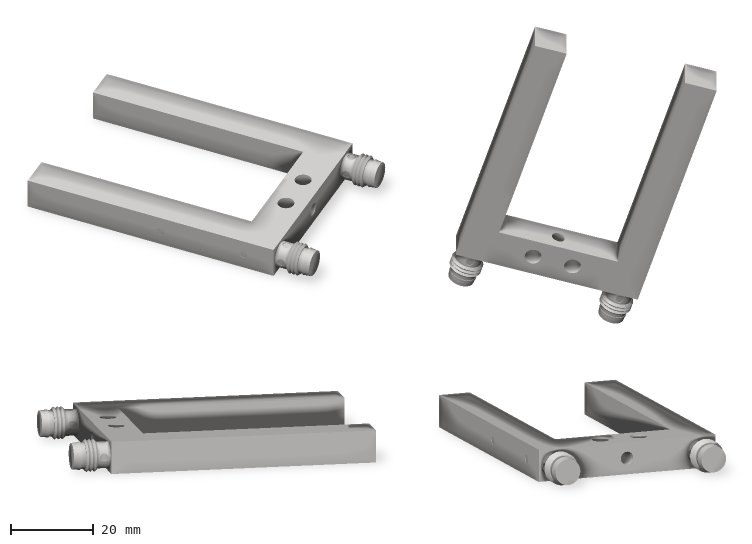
import cadquery as cq


total_length = 74.6
fork_width = 46.0
thickness = 8.0
housing_length = 65.5
bridge_length = 9.5
gap_width = 30.0
gap_length = housing_length - bridge_length
arm_width = (fork_width - gap_width) / 2
arm_offset = (gap_width + arm_width) / 2

mount_diameter = 4.1
mount_spacing = 10.0
mount_setback = 4.9
mount_x = housing_length - mount_setback
rear_hole_diameter = 3.2

optic_diameter = 7.45
optic_x = 6.0
window_diameter = 2.0
window_depth = 0.1
window_positions = (35.5, 57.5)

neck_diameter = 6.5
neck_length = 3.1
thread_diameter = 8.0
thread_root_diameter = 7.1
thread_pitch = 1.0
thread_turns = 3
relief_length = 1.1
nose_diameter = 6.9
tip_diameter = 6.4
connector_length = total_length - housing_length
port_diameter = 2.0
port_x = 1.65
port_floor_radius = 3.0
port_count = 4


def make_housing():
    """U-shaped block with its holes, optic seats and shallow indicator windows."""
    block = cq.Workplane("XY").box(
        housing_length, fork_width, thickness, centered=(False, True, True)
    )
    gap = cq.Workplane("XY").box(gap_length, gap_width, thickness, centered=(False, True, True))

    mount_holes = (
        cq.Workplane("XY", origin=(mount_x, 0, 0))
        .rarray(0.75, mount_spacing, 1, 2)
        .circle(mount_diameter / 2)
        .extrude(thickness, both=True)
    )
    rear_hole = (
        cq.Workplane("YZ", origin=(gap_length, 0, 0))
        .circle(rear_hole_diameter / 2)
        .extrude(bridge_length)
    )
    windows = (
        cq.Workplane("XZ", origin=(0, -fork_width / 2, 0))
        .pushPoints([(x, 0) for x in window_positions])
        .circle(window_diameter / 2)
        .extrude(-window_depth)
    )

    housing = block.cut(gap).cut(mount_holes).cut(rear_hole).cut(windows)
    for side in (-1, 1):
        housing = housing.cut(make_optic(side))
    return housing


def make_optic(side):
    """Round optic that fills the width of one arm, flush with both its faces."""
    outer_y = side * arm_offset + arm_width / 2
    return (
        cq.Workplane("XZ", origin=(optic_x, outer_y, 0))
        .circle(optic_diameter / 2)
        .extrude(arm_width)
    )


def connector_outline():
    """Half outline of the connector as (distance from the housing, radius) points."""
    points = [
        (0, 0),
        (0, neck_diameter / 2),
        (neck_length, neck_diameter / 2),
        (neck_length, thread_root_diameter / 2),
    ]
    for turn in range(thread_turns):
        turn_start = neck_length + turn * thread_pitch
        points.append((turn_start + thread_pitch / 2, thread_diameter / 2))
        points.append((turn_start + thread_pitch, thread_root_diameter / 2))
    thread_end = neck_length + thread_turns * thread_pitch
    nose_start = thread_end + relief_length
    points += [
        (thread_end, neck_diameter / 2),
        (nose_start, neck_diameter / 2),
        (nose_start, nose_diameter / 2),
        (connector_length, tip_diameter / 2),
        (connector_length, 0),
    ]
    return points


def make_connector(side):
    """Turned connector with ring threads and four flat-bottomed ports round its neck."""
    connector = (
        cq.Workplane("XY")
        .polyline(connector_outline())
        .close()
        .revolve(360, (0, 0, 0), (1, 0, 0))
    )
    port = (
        cq.Workplane("XY", origin=(port_x, 0, port_floor_radius))
        .circle(port_diameter / 2)
        .extrude(neck_diameter / 2)
    )
    for index in range(port_count):
        angle = index * 360 / port_count
        connector = connector.cut(port.rotate((0, 0, 0), (1, 0, 0), angle))
    return connector.translate((housing_length, side * arm_offset, 0))


housing = make_housing()
optics = [make_optic(side) for side in (-1, 1)]
connectors = [make_connector(side) for side in (-1, 1)]

result = cq.Compound.makeCompound(
    [
        housing.val(),
        *[optic.val() for optic in optics],
        *[connector.val() for connector in connectors],
    ]
)